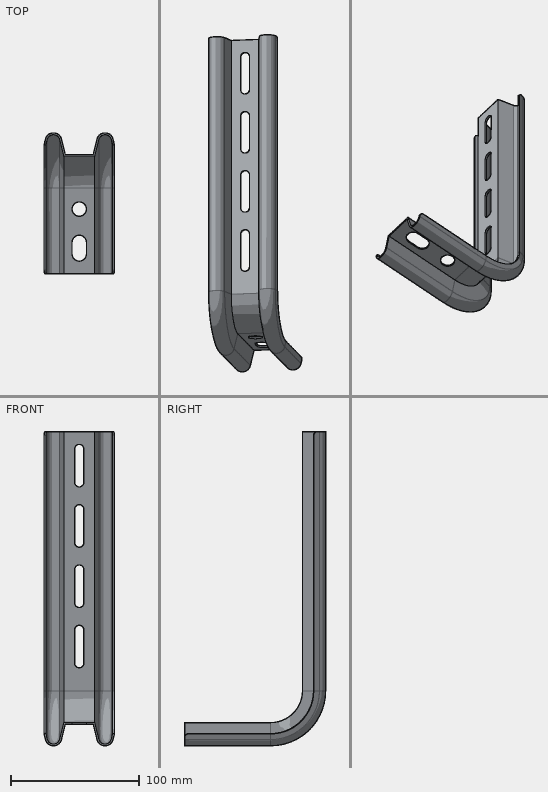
import cadquery as cq
import math

WIDTH = 55.0
ARM_REACH = 110.0
HEIGHT = 245.0

THICKNESS = 1.5
DEPTH = 18.25
LOBE_RADIUS = 6.5
WALL_ANGLE = math.radians(14.0)
LIP_LENGTH = 4.5
LIP_CORNER_RADIUS = 3.0

BEND_INNER_RADIUS = 24.75
BEND_OUTER_RADIUS = BEND_INNER_RADIUS + DEPTH
BEND_ANGLE = 90.0

UPRIGHT_SLOT_COUNT = 4
UPRIGHT_SLOT_LENGTH = 33.0
UPRIGHT_SLOT_WIDTH = 7.0
UPRIGHT_SLOT_PITCH = 47.0
UPRIGHT_SLOT_TOP_OFFSET = 26.5

ARM_OPENING_WIDTH = 11.0
ARM_SLOT_LENGTH = 20.0
ARM_SLOT_OFFSET = 20.0
ARM_HOLE_OFFSET = 50.5
CUT_DEPTH = DEPTH + THICKNESS

LOBE_CENTRE_X = WIDTH / 2 - LOBE_RADIUS * math.cos(WALL_ANGLE) - LIP_LENGTH * math.sin(WALL_ANGLE)


def half_skin(inset):
    """Points (x, depth) on one sheet skin for +X, from lip end to web corner."""
    radius = LOBE_RADIUS - inset
    side = radius * math.cos(WALL_ANGLE)
    tangent_depth = LOBE_RADIUS - radius * math.sin(WALL_ANGLE)
    web_depth = DEPTH - THICKNESS + inset
    lip_end = (
        LOBE_CENTRE_X + side + LIP_LENGTH * math.sin(WALL_ANGLE),
        tangent_depth + LIP_LENGTH * math.cos(WALL_ANGLE),
    )
    lip_root = (LOBE_CENTRE_X + side, tangent_depth)
    crest = (LOBE_CENTRE_X, inset)
    wall_root = (LOBE_CENTRE_X - side, tangent_depth)
    wall_run = (web_depth - tangent_depth) * math.tan(WALL_ANGLE)
    web_corner = (LOBE_CENTRE_X - side - wall_run, web_depth)
    return [lip_end, lip_root, crest, wall_root, web_corner]


def mirrored(points):
    """The same points on the -X side, in reverse order."""
    return [(-x, depth) for x, depth in reversed(points)]


def channel_section(workplane):
    """Closed channel section, with local y as the depth from the lobe crests."""
    outer_right = half_skin(0.0)
    inner_right = half_skin(THICKNESS)
    outer_skin = [outer_right, mirrored(outer_right)]
    inner_skin = [mirrored(inner_right)[::-1], inner_right[::-1]]
    outline = workplane.moveTo(*outer_right[0])
    for start, arc_start, crest, arc_end, end in outer_skin + inner_skin:
        if start != outer_right[0]:
            outline = outline.lineTo(*start)
        outline = outline.lineTo(*arc_start).threePointArc(crest, arc_end).lineTo(*end)
    return outline.close()


def arm_plane(y):
    """Plane across the arm: local x = X, local y = Z, normal = -Y."""
    return cq.Workplane(cq.Plane(origin=(0, y, 0), xDir=(1, 0, 0), normal=(0, -1, 0)))


def upright_plane(z):
    """Plane across the upright: local x = X, local y = -Y, normal = -Z."""
    return cq.Workplane(cq.Plane(origin=(0, 0, z), xDir=(1, 0, 0), normal=(0, 0, -1)))


def make_channel():
    """Straight arm and upright joined by a quarter-turn bend."""
    arm = channel_section(arm_plane(-BEND_OUTER_RADIUS)).extrude(ARM_REACH - BEND_OUTER_RADIUS)
    upright = channel_section(upright_plane(HEIGHT)).extrude(HEIGHT - BEND_OUTER_RADIUS)
    bend = channel_section(arm_plane(-BEND_OUTER_RADIUS)).revolve(
        BEND_ANGLE, (0, BEND_OUTER_RADIUS), (1, BEND_OUTER_RADIUS)
    )
    return arm.union(bend).union(upright)


def round_lip_corners(body):
    """Round the free lip corners at both ends of the bracket."""
    outer_end = half_skin(0.0)[0]
    inner_end = half_skin(THICKNESS)[0]
    edge_x = (outer_end[0] + inner_end[0]) / 2
    edge_depth = (outer_end[1] + inner_end[1]) / 2
    for x in (edge_x, -edge_x):
        for corner in ((x, -ARM_REACH, edge_depth), (x, -edge_depth, HEIGHT)):
            body = body.edges(cq.NearestToPointSelector(corner)).fillet(LIP_CORNER_RADIUS)
    return body


def upright_slots():
    """Row of lengthwise slot cutters through the upright web."""
    first_z = HEIGHT - UPRIGHT_SLOT_TOP_OFFSET
    centres = [(0, first_z - i * UPRIGHT_SLOT_PITCH) for i in range(UPRIGHT_SLOT_COUNT)]
    return (
        cq.Workplane("XZ")
        .pushPoints(centres)
        .slot2D(UPRIGHT_SLOT_LENGTH, UPRIGHT_SLOT_WIDTH, angle=90)
        .extrude(CUT_DEPTH)
    )


def arm_openings():
    """Round hole and lengthwise slot cutters through the arm web."""
    hole = (
        cq.Workplane("XY")
        .center(0, ARM_HOLE_OFFSET - ARM_REACH)
        .circle(ARM_OPENING_WIDTH / 2)
        .extrude(CUT_DEPTH)
    )
    slot = (
        cq.Workplane("XY")
        .center(0, ARM_SLOT_OFFSET - ARM_REACH)
        .slot2D(ARM_SLOT_LENGTH, ARM_OPENING_WIDTH, angle=90)
        .extrude(CUT_DEPTH)
    )
    return hole.union(slot)


bracket = round_lip_corners(make_channel())
result = bracket.cut(upright_slots()).cut(arm_openings())